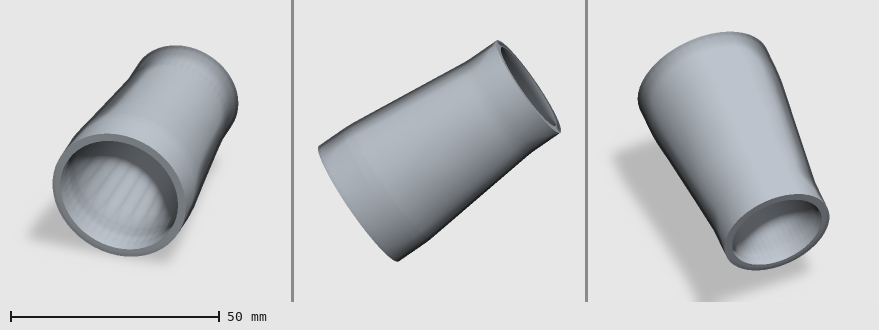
import cadquery as cq
import math

length = 50.0
wide_diameter = 33.7
narrow_diameter = 26.9
wall = 2.0
collar_length = 7.5
blend_length = 2.5

wide_face = -length / 2
narrow_face = length / 2
wide_collar_end = wide_face + collar_length
narrow_collar_end = narrow_face - collar_length


def reducer_solid(wide_radius, narrow_radius):
    """Solid of revolution: two straight collars joined by a taper, with tangent arcs between them."""
    tangent_length = blend_length / 2
    taper_run = narrow_collar_end - wide_collar_end - 2 * tangent_length
    taper_angle = math.atan2(wide_radius - narrow_radius, taper_run)
    inset = tangent_length * math.sin(taper_angle)
    reach = tangent_length * (1 + math.cos(taper_angle))

    return (
        cq.Workplane("XY")
        .moveTo(0, wide_face)
        .lineTo(wide_radius, wide_face)
        .lineTo(wide_radius, wide_collar_end)
        .tangentArcPoint((wide_radius - inset, wide_collar_end + reach), relative=False)
        .lineTo(narrow_radius + inset, narrow_collar_end - reach)
        .tangentArcPoint((narrow_radius, narrow_collar_end), relative=False)
        .lineTo(narrow_radius, narrow_face)
        .lineTo(0, narrow_face)
        .close()
        .revolve(360, (0, 0, 0), (0, 1, 0))
    )


outer_body = reducer_solid(wide_diameter / 2, narrow_diameter / 2)
bore = reducer_solid(wide_diameter / 2 - wall, narrow_diameter / 2 - wall)

result = outer_body.cut(bore)